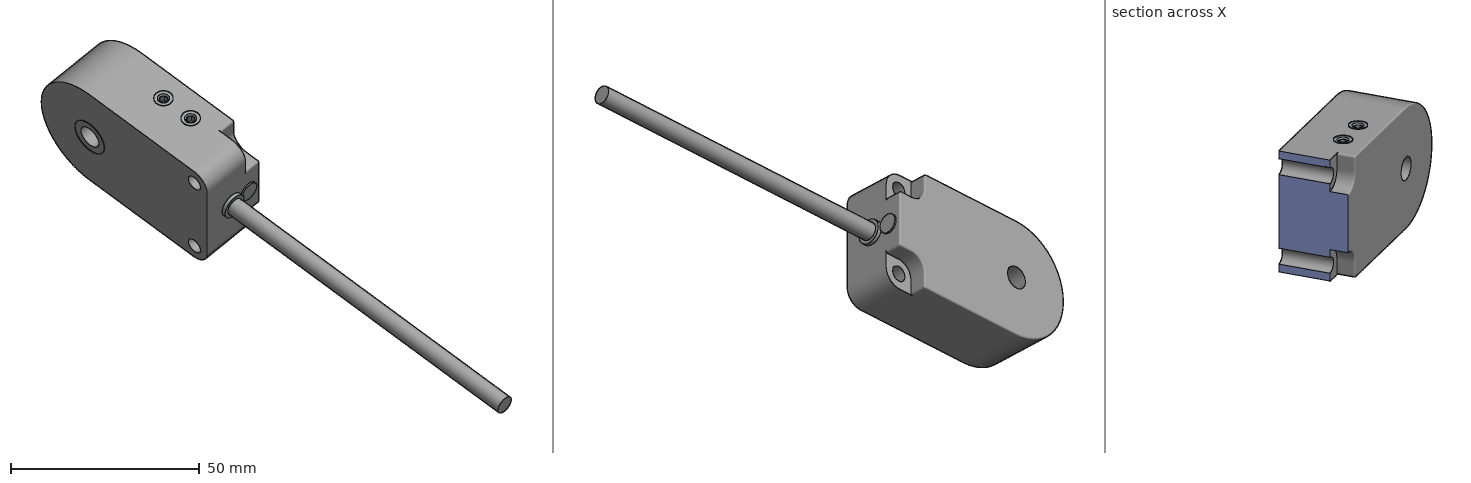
import cadquery as cq

total_length = 160.6
height = 35.3
depth = 20.0
housing_length = 60.7
corner_radius = 5.0
back_rounding = 0.5
nose_radius = height / 2
end_x = housing_length - nose_radius

bore_diameter = 6.6
ring_diameter = 10.8
ring_recess = 0.2

mount_hole_diameter = 4.5
mount_inset = 4.7
mount_x = end_x - mount_inset
mount_z = nose_radius - mount_inset

pocket_radius = 4.5
pocket_depth = 5.3
pocket_floor_y = depth - pocket_depth
pocket_wall_x = mount_x - pocket_radius
pocket_wall_z = mount_z - pocket_radius
edge_rounding = 0.6

first_screw_x = 15.0
screw_spacing = 10.0
screw_y = 12.7
screw_diameter = 5.1
screw_recess = 0.2
socket_mouth_diameter = 3.2
socket_across_corners = 2.4
socket_depth = 2.4

cable_y = 9.3
cable_diameter = 5.1
outlet_diameter = 7.2
outlet_length = 1.1
lamp_diameter = 5.6
lamp_length = 0.5
lamp_y = 15.7


def y_cylinder(x, z, diameter, start, length):
    """Cylinder along +Y that starts at y = start."""
    return cq.Workplane(cq.Solid.makeCylinder(
        diameter / 2, length, cq.Vector(x, start, z), cq.Vector(0, 1, 0)))


def end_cylinder(y, diameter, length):
    """Cylinder along +X that stands on the square end of the housing."""
    return cq.Workplane("YZ", origin=(end_x, y, 0)).circle(diameter / 2).extrude(length)


def round_nosed_plate(length, start, thickness):
    """Full-height plate with a half-round nose that reaches from the nose to x = length."""
    return (
        cq.Workplane("XZ", origin=(0, start, 0))
        .moveTo(0, nose_radius)
        .lineTo(length, nose_radius)
        .lineTo(length, -nose_radius)
        .lineTo(0, -nose_radius)
        .threePointArc((-nose_radius, 0), (0, nose_radius))
        .close()
        .extrude(-thickness)
    )


def front_layer():
    """Plate that carries the full outline of the housing."""
    plate = round_nosed_plate(end_x, 0, pocket_floor_y)
    return plate.edges("|Y and >X").fillet(corner_radius)


def back_layer():
    """Plate that narrows to a tongue at the square end, which leaves a pocket in each corner."""
    wide_part = (
        round_nosed_plate(pocket_wall_x, pocket_floor_y, pocket_depth)
        .edges("|Y and >X")
        .fillet(edge_rounding)
    )
    tongue = (
        cq.Workplane("XY", origin=(0, pocket_floor_y, -pocket_wall_z))
        .box(end_x, pocket_depth, 2 * pocket_wall_z, centered=False)
        .edges("|Y and >X")
        .fillet(edge_rounding)
    )
    inner_corners = cq.selectors.BoxSelector(
        (pocket_wall_x - edge_rounding, pocket_floor_y, -pocket_wall_z - edge_rounding),
        (pocket_wall_x + edge_rounding, depth, pocket_wall_z + edge_rounding))
    layer = wide_part.union(tongue)
    layer = layer.edges(inner_corners).edges("|Y").fillet(pocket_radius)
    return layer.faces(">Y").edges().fillet(back_rounding)


def screw_recess_cut(x):
    """Recessed screw face with a hexagon socket that has a conical mouth."""
    face_z = nose_radius - screw_recess
    mouth_depth = (socket_mouth_diameter - socket_across_corners) / 2
    face = cq.Workplane("XY", origin=(x, screw_y, face_z))
    mouth = cq.Solid.makeCone(
        socket_mouth_diameter / 2, socket_across_corners / 2, mouth_depth,
        cq.Vector(x, screw_y, face_z), cq.Vector(0, 0, -1))
    recess = face.circle(screw_diameter / 2).extrude(screw_recess)
    socket = face.polygon(6, socket_across_corners).extrude(-socket_depth)
    return recess.union(socket).union(cq.Workplane(mouth))


result = front_layer().union(back_layer())

result = result.cut(y_cylinder(0, 0, bore_diameter, 0, depth))
result = result.cut(y_cylinder(0, 0, ring_diameter, 0, ring_recess))
for z in (mount_z, -mount_z):
    result = result.cut(y_cylinder(mount_x, z, mount_hole_diameter, 0, depth))

for x in (first_screw_x, first_screw_x + screw_spacing):
    result = result.cut(screw_recess_cut(x))

result = result.union(end_cylinder(cable_y, outlet_diameter, outlet_length))
result = result.union(end_cylinder(cable_y, cable_diameter, total_length - housing_length))
result = result.union(end_cylinder(lamp_y, lamp_diameter, lamp_length))